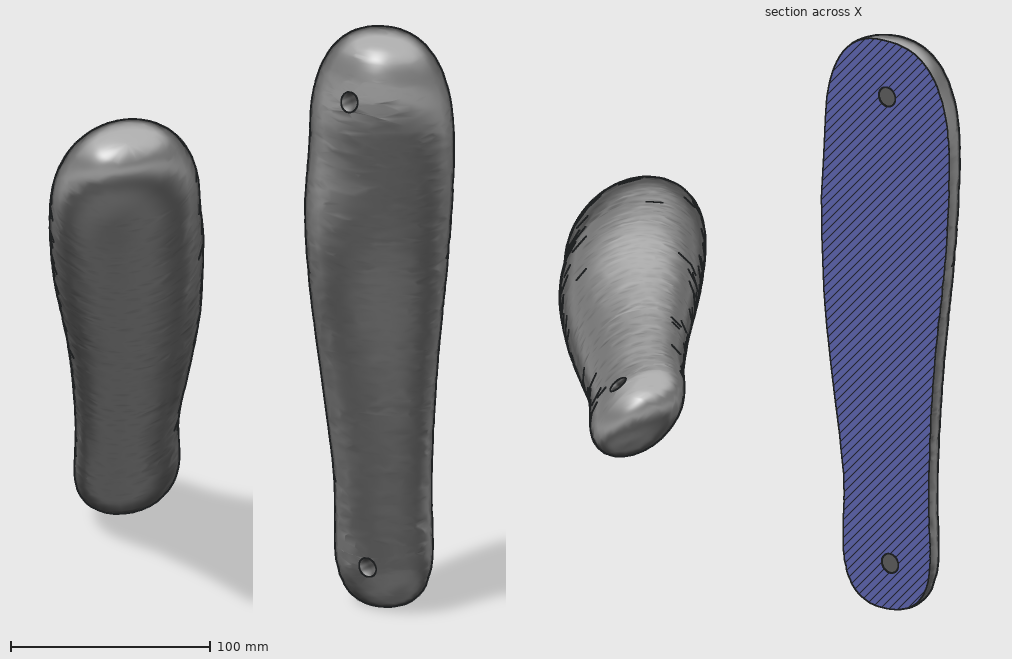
import cadquery as cq


TOTAL_HEIGHT = 304.5

BODY_SECTIONS = [
    (33.5, -15.2, 20.7, -27.7, 27.0),
    (61.0, -17.0, 21.5, -26.8, 26.5),
    (91.5, -19.0, 23.5, -27.5, 30.0),
    (128.0, -22.0, 26.2, -29.5, 35.0),
    (158.5, -26.2, 29.0, -32.5, 38.5),
    (185.8, -30.8, 30.8, -36.0, 39.5),
    (216.3, -32.3, 32.0, -38.5, 40.0),
    (243.7, -30.8, 31.7, -39.3, 38.0),
]

DOME_FULLNESS = 2.5
DOME_SCALES = [0.97, 0.89, 0.75, 0.55, 0.35, 0.18, 0.02]
BOTTOM_TIP = (2.5, 2.5)
TOP_TIP = (2.5, 0.0)

HOLE_DIAMETER = 10.0
HOLE_CENTERS = [(-2.5, 25.0), (-0.5, 274.5)]
HOLE_FLOOR_X = 0.0
HOLE_MOUTH_X = -45.7


def oval(z, x_min, x_max, y_min, y_max):
    """Elliptical wire at height z filling the given X and Y limits."""
    center = cq.Vector((x_min + x_max) / 2, (y_min + y_max) / 2, z)
    return cq.Wire.makeEllipse(
        (y_max - y_min) / 2, (x_max - x_min) / 2, center, cq.Vector(0, 0, 1), cq.Vector(0, 1, 0)
    )


def dome_ovals(base, tip_xy, tip_z):
    """Ovals from just beyond the base section to the tip of a cap."""
    base_z, *limits = base
    tip_x, tip_y = tip_xy
    targets = [tip_x, tip_x, tip_y, tip_y]
    wires = []
    for scale in DOME_SCALES:
        height_fraction = (1 - scale**DOME_FULLNESS) ** (1 / DOME_FULLNESS)
        shrunk = [target + scale * (limit - target) for limit, target in zip(limits, targets)]
        z = base_z + height_fraction * (tip_z - base_z)
        wires.append(oval(z, *shrunk))
    return wires


def make_body():
    bottom = dome_ovals(BODY_SECTIONS[0], BOTTOM_TIP, 0.0)
    middle = [oval(*section) for section in BODY_SECTIONS]
    top = dome_ovals(BODY_SECTIONS[-1], TOP_TIP, TOTAL_HEIGHT)
    return cq.Workplane(cq.Solid.makeLoft(bottom[::-1] + middle + top))


def make_holes():
    return (
        cq.Workplane("YZ", origin=(HOLE_MOUTH_X, 0, 0))
        .pushPoints(HOLE_CENTERS)
        .circle(HOLE_DIAMETER / 2)
        .extrude(HOLE_FLOOR_X - HOLE_MOUTH_X)
    )


result = make_body().cut(make_holes())